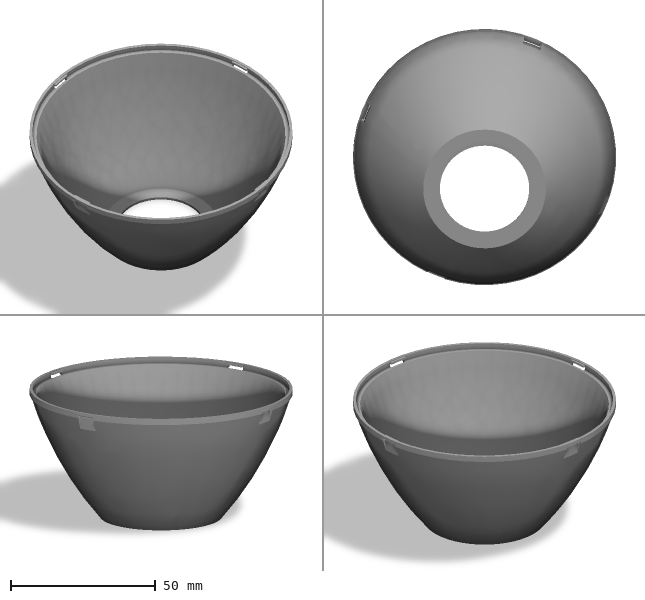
import cadquery as cq
import math

height = 45.5
rim_radius = 45.5
rim_height = 2.0
base_radius = 21.2
shoulder_radius = 45.1
curve_radius = 122.85

base_thickness = 1.0
hole_radius = 15.5
floor_radius = 20.1
mouth_radius = 43.0

rim_wall = 1.0
seat_radius = rim_radius - rim_wall
seat_z = height - rim_height

slot_count = 4
slot_start = -4.1
slot_end = 2.4
slot_bottom_z = 38.5
slot_top_z = height - 1.0
slot_back_radius = 43.8
slot_outer_radius = rim_radius + rim_wall
tab_thickness = 0.7
tab_top_z = slot_top_z + tab_thickness
tab_outer_radius = rim_radius - rim_wall / 2


def arc_middle(start, end):
    """Middle of the wall arc between two (radius, z) points, bulging outward."""
    span_r = end[0] - start[0]
    span_z = end[1] - start[1]
    chord = math.hypot(span_r, span_z)
    bulge = curve_radius - math.sqrt(curve_radius**2 - (chord / 2) ** 2)
    middle_r = (start[0] + end[0]) / 2 + bulge * span_z / chord
    middle_z = (start[1] + end[1]) / 2 - bulge * span_r / chord
    return (middle_r, middle_z)


def make_bowl():
    """Revolve the wall section: base, curved wall, stepped rim."""
    base_edge = (base_radius, 0)
    shoulder = (shoulder_radius, seat_z)
    mouth = (mouth_radius, seat_z)
    floor_edge = (floor_radius, base_thickness)
    section = (
        cq.Workplane("XZ")
        .moveTo(hole_radius, 0)
        .lineTo(*base_edge)
        .threePointArc(arc_middle(base_edge, shoulder), shoulder)
        .lineTo(rim_radius, seat_z)
        .lineTo(rim_radius, height)
        .lineTo(seat_radius, height)
        .lineTo(seat_radius, seat_z)
        .lineTo(*mouth)
        .threePointArc(arc_middle(floor_edge, mouth), floor_edge)
        .lineTo(hole_radius, base_thickness)
        .close()
    )
    return section.revolve(360, (0, 0), (0, 1))


def make_slot_block(outer_radius, bottom_z, top_z):
    """Block on the -Y side between the slot sides, from the slot back to outer_radius."""
    block_height = top_z - bottom_z
    ring = (
        cq.Workplane("XY", origin=(0, 0, bottom_z))
        .circle(outer_radius)
        .circle(slot_back_radius)
        .extrude(block_height)
    )
    sector = (
        cq.Workplane("XY", origin=(0, 0, bottom_z))
        .moveTo(slot_start, 0)
        .lineTo(slot_end, 0)
        .lineTo(slot_end, -2 * slot_outer_radius)
        .lineTo(slot_start, -2 * slot_outer_radius)
        .close()
        .extrude(block_height)
    )
    return ring.intersect(sector)


result = make_bowl()
slot = make_slot_block(slot_outer_radius, slot_bottom_z, slot_top_z)
tab = make_slot_block(tab_outer_radius, slot_top_z, tab_top_z)
for index in range(slot_count):
    angle = index * 360 / slot_count
    result = result.cut(slot.rotate((0, 0, 0), (0, 0, 1), angle))
    result = result.union(tab.rotate((0, 0, 0), (0, 0, 1), angle))